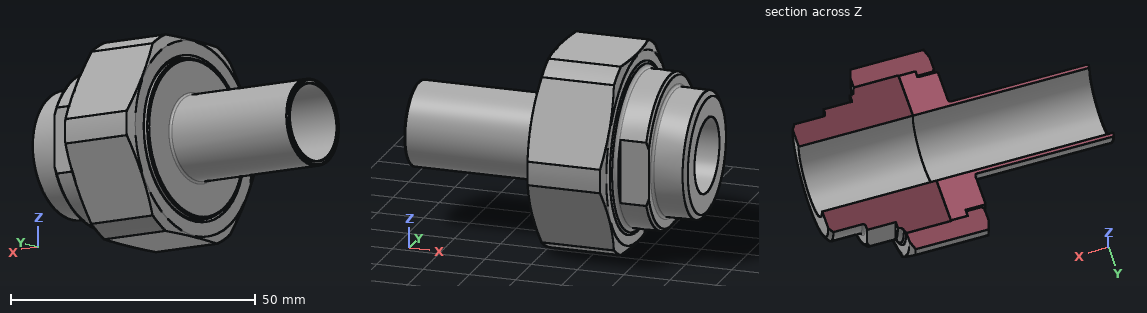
import cadquery as cq
import math

LENGTH = 62.5
BORE_RADIUS = 16.0 / 2

TUBE_RADIUS = 18.0 / 2
TUBE_CHAMFER = 0.3
BORE_EDGE_CHAMFER = 0.1
FLANGE_RADIUS = 33.0 / 2
FLANGE_X = 29.95
FLANGE_CHAMFER = 0.3
TUBE_FILLET = 0.45

NUT_X = 30.5
NUT_END_X = 47.55
NUT_ACROSS_FLATS = 41.0
NUT_CORNER_RADIUS = 44.7 / 2
HALF_HEX_STEP = 360 / 12
NUT_FACE_RADIUS = 20.25
NUT_CHAMFER_LENGTH = 0.7
NUT_LIP_LENGTH = 3.75
NUT_LIP_RADIUS = 33.5 / 2
NUT_ENTRY_CHAMFER = 0.5
NUT_BORE_RADIUS = 36.0 / 2

SHOULDER_LENGTH = 3.75
SHOULDER_X = NUT_X + NUT_LIP_LENGTH
SEAT_X = SHOULDER_X + SHOULDER_LENGTH

LIP_END_X = 47.9
LIP_END_RADIUS = 17.45
COLLAR_X = 48.7
COLLAR_RADIUS = FLANGE_RADIUS
COLLAR_END_X = 55.0
COLLAR_CHAMFER = 0.55
FLATS_X = 48.9
ACROSS_FLATS = 30.0
THREAD_RADIUS = 26.9 / 2
THREAD_FILLET = 0.55
THREAD_CHAMFER_LENGTH = 0.75
THREAD_CHAMFER_ANGLE = 57
THREAD_CHAMFER_DEPTH = THREAD_CHAMFER_LENGTH * math.tan(math.radians(THREAD_CHAMFER_ANGLE))


def revolve_about_x(profile):
    """Turn a closed (x, radius) profile about the X axis."""
    return profile.close().revolve(360, (0, 0, 0), (1, 0, 0))


def concave_mid(wall_end, cylinder_end):
    """Middle of a concave quarter blend from a wall to a cylinder, both ends as (x, radius)."""
    share = 1 - math.sqrt(0.5)
    return (
        wall_end[0] + share * (cylinder_end[0] - wall_end[0]),
        cylinder_end[1] + share * (wall_end[1] - cylinder_end[1]),
    )


def make_tailpiece():
    fillet_start = (FLANGE_X - TUBE_FILLET, TUBE_RADIUS)
    fillet_end = (FLANGE_X, TUBE_RADIUS + TUBE_FILLET)
    profile = (
        cq.Workplane("XY")
        .moveTo(BORE_EDGE_CHAMFER, BORE_RADIUS)
        .lineTo(0, BORE_RADIUS + BORE_EDGE_CHAMFER)
        .lineTo(0, TUBE_RADIUS - TUBE_CHAMFER)
        .lineTo(TUBE_CHAMFER, TUBE_RADIUS)
        .lineTo(*fillet_start)
        .threePointArc(concave_mid(fillet_end, fillet_start), fillet_end)
        .lineTo(FLANGE_X, FLANGE_RADIUS - FLANGE_CHAMFER)
        .lineTo(FLANGE_X + FLANGE_CHAMFER, FLANGE_RADIUS)
        .lineTo(SHOULDER_X, FLANGE_RADIUS)
        .lineTo(SHOULDER_X, NUT_BORE_RADIUS)
        .lineTo(SEAT_X, NUT_BORE_RADIUS)
        .lineTo(SEAT_X, BORE_RADIUS)
    )
    return revolve_about_x(profile)


def make_nut():
    ring = revolve_about_x(
        cq.Workplane("XY")
        .moveTo(NUT_X, NUT_LIP_RADIUS + NUT_ENTRY_CHAMFER)
        .lineTo(NUT_X, NUT_FACE_RADIUS)
        .lineTo(NUT_X + NUT_CHAMFER_LENGTH, NUT_CORNER_RADIUS)
        .lineTo(NUT_END_X - NUT_CHAMFER_LENGTH, NUT_CORNER_RADIUS)
        .lineTo(NUT_END_X, NUT_FACE_RADIUS)
        .lineTo(NUT_END_X, NUT_BORE_RADIUS)
        .lineTo(SHOULDER_X, NUT_BORE_RADIUS)
        .lineTo(SHOULDER_X, NUT_LIP_RADIUS)
        .lineTo(NUT_X + NUT_ENTRY_CHAMFER, NUT_LIP_RADIUS)
    )
    hexagon = (
        cq.Workplane("YZ", origin=(NUT_X, 0, 0))
        .polygon(6, NUT_ACROSS_FLATS, circumscribed=True)
        .extrude(NUT_END_X - NUT_X)
        .rotate((0, 0, 0), (1, 0, 0), HALF_HEX_STEP)
    )
    return ring.intersect(hexagon)


def make_body():
    lip_end = (LIP_END_X, LIP_END_RADIUS)
    collar_start = (COLLAR_X, COLLAR_RADIUS)
    neck_start = (COLLAR_END_X, THREAD_RADIUS + THREAD_FILLET)
    thread_start = (COLLAR_END_X + THREAD_FILLET, THREAD_RADIUS)
    turned = revolve_about_x(
        cq.Workplane("XY")
        .moveTo(SEAT_X, BORE_RADIUS)
        .lineTo(SEAT_X, NUT_BORE_RADIUS)
        .lineTo(NUT_END_X, NUT_BORE_RADIUS)
        .lineTo(*lip_end)
        .threePointArc(concave_mid(lip_end, collar_start), collar_start)
        .lineTo(COLLAR_END_X - COLLAR_CHAMFER, COLLAR_RADIUS)
        .lineTo(COLLAR_END_X, COLLAR_RADIUS - COLLAR_CHAMFER)
        .lineTo(*neck_start)
        .threePointArc(concave_mid(neck_start, thread_start), thread_start)
        .lineTo(LENGTH - THREAD_CHAMFER_LENGTH, THREAD_RADIUS)
        .lineTo(LENGTH, THREAD_RADIUS - THREAD_CHAMFER_DEPTH)
        .lineTo(LENGTH, BORE_RADIUS)
    )
    flat_depth = COLLAR_RADIUS - ACROSS_FLATS / 2
    for side in (-1, 1):
        cutter = cq.Workplane("XY").box(
            COLLAR_END_X - FLATS_X, flat_depth, 2 * COLLAR_RADIUS, centered=(False, True, True)
        )
        flat_y = side * (ACROSS_FLATS + flat_depth) / 2
        turned = turned.cut(cutter.translate((FLATS_X, flat_y, 0)))
    return turned


tailpiece = make_tailpiece()
nut = make_nut()
body = make_body()
result = cq.Compound.makeCompound(
    [*tailpiece.solids().vals(), *nut.solids().vals(), *body.solids().vals()]
)